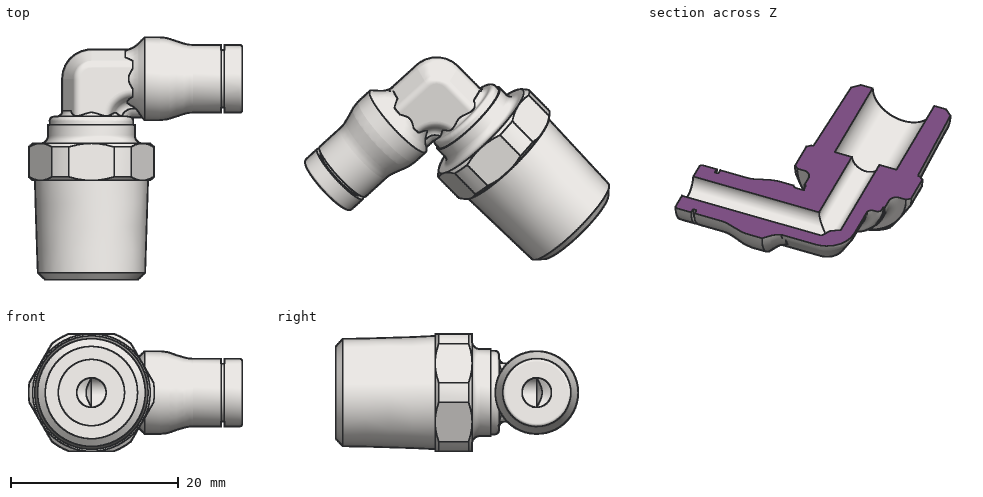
import cadquery as cq
import math


thread_end = 23.95
thread_chamfer_length = 0.85
thread_nose_radius = 5.5
gauge_depth = 17.85
gauge_radius = 6.58
taper = 1 / 32

hex_flats = 14.0
hex_corner_radius = 7.5
hex_top = 7.7
hex_bottom = 12.1
hex_chamfer_length = 0.42

neck_radius = 5.2
neck_fillet = 0.92
neck_top = 5.48
collar_radius = 5.0
collar_top = 4.49
collar_round = 0.55
root_radius = 3.47
root_top = 3.8
root_flare = collar_top - root_top

elbow_half_height = 3.5
elbow_shoulder = 1.88
elbow_face_angle = 28.5
elbow_apex = elbow_shoulder + elbow_half_height * math.tan(math.radians(elbow_face_angle))
elbow_apex_round = 1.93
elbow_shoulder_round = 0.95
elbow_inner_bend = 4.9
elbow_arm = elbow_inner_bend

web_half_height = 1.65
web_edge = 4.64
web_crown_radius = 1.8
web_root = 2.0
web_fillet = 1.0

port_end = 17.99
port_radius = 4.05
port_end_round = 0.35
bell_radius = 4.95
bell_start = 6.35
cone_start = 5.62
flare_start = 4.0
flare_radius = 2.88
bell_end = 8.16
blend_end = 12.08
blend_arc_length = 1.13
groove_start = 15.44
groove_end = 15.84
groove_radius = 3.45

thread_bore_radius = 3.95
thread_bore_end = hex_bottom
passage_radius = 1.75
drill_point_angle = 120
drill_tip = passage_radius / math.tan(math.radians(drill_point_angle / 2))


def thread_radius(depth):
    return gauge_radius - taper * (depth - gauge_depth)


def turned_leg():
    """Thread, neck and collar as one body turned about Y."""
    chamfer_top = thread_end - thread_chamfer_length
    diagonal = math.sqrt(0.5)
    neck_arc_mid = neck_fillet * (1 - diagonal)
    collar_arc_mid = collar_round * (1 - diagonal)
    root_arc_mid = root_flare * (1 - diagonal)
    profile = (
        cq.Workplane("XY")
        .moveTo(0, -thread_end)
        .lineTo(thread_nose_radius, -thread_end)
        .lineTo(thread_radius(chamfer_top), -chamfer_top)
        .lineTo(thread_radius(hex_bottom), -hex_bottom)
        .lineTo(thread_radius(hex_bottom), -hex_top)
        .lineTo(neck_radius + neck_fillet, -hex_top)
        .threePointArc(
            (neck_radius + neck_arc_mid, -hex_top + neck_arc_mid),
            (neck_radius, -hex_top + neck_fillet),
        )
        .lineTo(neck_radius, -neck_top)
        .lineTo(collar_radius, -neck_top)
        .lineTo(collar_radius, -collar_top - collar_round)
        .threePointArc(
            (collar_radius - collar_arc_mid, -collar_top - collar_arc_mid),
            (collar_radius - collar_round, -collar_top),
        )
        .lineTo(root_radius + root_flare, -collar_top)
        .threePointArc(
            (root_radius + root_arc_mid, -collar_top + root_arc_mid),
            (root_radius, -root_top),
        )
        .lineTo(0, -root_top)
        .close()
    )
    return profile.revolve(360, (0, 0, 0), (0, 1, 0))


def hexagon():
    """Hexagon with flats on +-Z, its corners turned down and chamfered at both ends."""
    across_corners = hex_flats / math.cos(math.pi / 6)
    prism = (
        cq.Workplane("XZ", origin=(0, -hex_top, 0))
        .polygon(6, across_corners)
        .extrude(hex_bottom - hex_top)
    )
    turned = (
        cq.Workplane("XZ", origin=(0, -hex_top, 0))
        .circle(hex_corner_radius)
        .extrude(hex_bottom - hex_top)
        .edges()
        .chamfer(hex_chamfer_length, hex_corner_radius - hex_flats / 2)
    )
    return prism.intersect(turned)


def elbow_section():
    """Rounded hexagonal section of the elbow, centred on its axis."""
    outline = [
        (elbow_apex, 0),
        (elbow_shoulder, elbow_half_height),
        (-elbow_shoulder, elbow_half_height),
        (-elbow_apex, 0),
        (-elbow_shoulder, -elbow_half_height),
        (elbow_shoulder, -elbow_half_height),
        (elbow_apex, 0),
    ]
    return (
        cq.Sketch()
        .polygon(outline)
        .vertices(">X or <X")
        .fillet(elbow_apex_round)
        .reset()
        .vertices(">Y or <Y")
        .fillet(elbow_shoulder_round)
        .reset()
    )


def elbow():
    """Two straight arms, a tight outer corner and a wide inner bend."""
    section = elbow_section()
    leg_arm = cq.Workplane("XZ").placeSketch(section).extrude(elbow_arm)
    port_arm = cq.Workplane("YZ").placeSketch(section).extrude(elbow_arm)

    width = 2 * elbow_apex
    height = 2 * elbow_half_height
    outer_half = elbow_section().push([(elbow_apex, 0)]).rect(width, height, mode="s")
    outer_corner = cq.Workplane("XZ").placeSketch(outer_half).revolve(90, (0, 0, 0), (0, -1, 0))

    bend = elbow_inner_bend
    filled = elbow_section().push([(-bend / 2, 0)]).rect(bend, height)
    bend_sweep = (
        cq.Workplane("XZ", origin=(0, -bend, 0))
        .placeSketch(filled)
        .revolve(90, (bend, 0, 0), (bend, -1, 0))
    )
    quadrant = cq.Workplane("XY").box(bend, bend, height).translate((bend / 2, -bend / 2, 0))
    inner_bend = bend_sweep.intersect(quadrant)
    return leg_arm.union(port_arm).union(outer_corner).union(inner_bend)


def web_section(side, plane, origin):
    """Closed web profile; `side` is the sign of the local direction into the bend."""
    face = math.radians(elbow_face_angle)
    corner = elbow_apex - web_half_height * math.tan(face)
    turn = math.pi / 2 - face
    tangent = web_fillet * math.tan(turn / 2)
    fillet_start = (corner - tangent * math.sin(face), web_half_height + tangent * math.cos(face))
    fillet_end = corner + tangent
    fillet_mid = (
        fillet_end - web_fillet * math.sin(turn / 2),
        web_half_height + web_fillet * (1 - math.cos(turn / 2)),
    )
    crown_center = web_edge - web_crown_radius
    crown_start = crown_center + math.sqrt(web_crown_radius**2 - web_half_height**2)
    return (
        cq.Workplane(plane, origin=origin)
        .moveTo(side * web_root, fillet_start[1])
        .lineTo(side * fillet_start[0], fillet_start[1])
        .threePointArc((side * fillet_mid[0], fillet_mid[1]), (side * fillet_end, web_half_height))
        .lineTo(side * crown_start, web_half_height)
        .threePointArc((side * web_edge, 0), (side * crown_start, -web_half_height))
        .lineTo(side * fillet_end, -web_half_height)
        .threePointArc(
            (side * fillet_mid[0], -fillet_mid[1]),
            (side * fillet_start[0], -fillet_start[1]),
        )
        .lineTo(side * web_root, -fillet_start[1])
        .close()
    )


def web():
    """Web following the inner bend, then running straight into the port cone."""
    bend = elbow_inner_bend
    curved = web_section(1, "XZ", (0, -bend, 0)).revolve(90, (bend, 0, 0), (bend, -1, 0))
    straight = web_section(-1, "YZ", (bend, 0, 0)).extrude(bell_start - bend)
    return curved.union(straight)


def port():
    """Tube port turned about X, from the flare on the elbow to the open end."""
    cone_radius = bell_radius - (bell_start - cone_start)
    flare_x = cone_start - flare_radius * math.sin(math.pi / 4)
    flare_y = cone_radius + flare_radius * math.cos(math.pi / 4)

    def flare(x):
        return flare_y - math.sqrt(flare_radius**2 - (x - flare_x) ** 2)

    flare_mid = (flare_start + cone_start) / 2

    cone_run = blend_end - bell_end - blend_arc_length
    slope = math.atan((bell_radius - port_radius) / cone_run)
    arc_drop = blend_arc_length * math.tan(slope / 2)
    profile = (
        cq.Workplane("XY")
        .moveTo(flare_start, 0)
        .lineTo(flare_start, flare(flare_start))
        .threePointArc((flare_mid, flare(flare_mid)), (cone_start, cone_radius))
        .lineTo(bell_start, bell_radius)
        .lineTo(bell_end, bell_radius)
        .tangentArcPoint((bell_end + blend_arc_length, bell_radius - arc_drop), relative=False)
        .lineTo(blend_end - blend_arc_length, port_radius + arc_drop)
        .tangentArcPoint((blend_end, port_radius), relative=False)
        .lineTo(groove_start, port_radius)
        .lineTo(groove_start, groove_radius)
        .lineTo(groove_end, groove_radius)
        .lineTo(groove_end, port_radius)
        .lineTo(port_end - port_end_round, port_radius)
        .tangentArcPoint((port_end, port_radius - port_end_round), relative=False)
        .lineTo(port_end, 0)
        .close()
    )
    return profile.revolve(360, (0, 0, 0), (1, 0, 0))


def port_passage():
    """Drilled passage along +X from the port mouth to its conical end past the origin."""
    return (
        cq.Workplane("XY")
        .moveTo(-drill_tip, 0)
        .lineTo(0, passage_radius)
        .lineTo(port_end, passage_radius)
        .lineTo(port_end, 0)
        .close()
        .revolve(360, (0, 0, 0), (1, 0, 0))
    )


def bores():
    """Wide bore up to the top of the thread and the two drilled passages that meet in the elbow."""
    leg_passage = (
        cq.Workplane("XY")
        .moveTo(0, -thread_bore_end)
        .lineTo(passage_radius, -thread_bore_end)
        .lineTo(passage_radius, 0)
        .lineTo(0, drill_tip)
        .close()
        .revolve(360, (0, 0, 0), (0, 1, 0))
    )
    thread_bore = (
        cq.Workplane("XZ", origin=(0, -thread_bore_end, 0))
        .circle(thread_bore_radius)
        .extrude(thread_end - thread_bore_end)
    )
    return leg_passage.union(port_passage()).union(thread_bore)


body = turned_leg().union(hexagon()).union(elbow()).union(web()).union(port())
result = body.cut(bores())